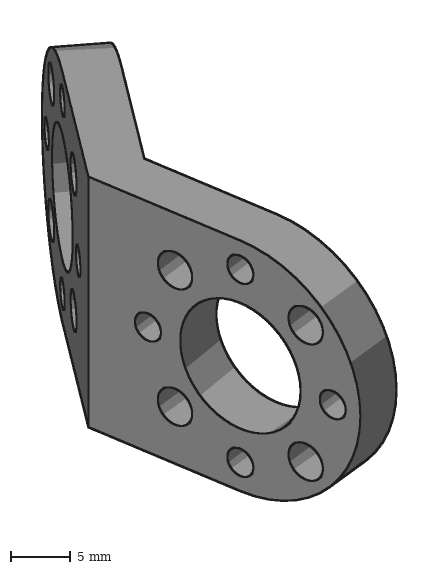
import cadquery as cq
import math

overall_length = 49.1
bend_angle = 45.0
width = 25.4
thickness = 5.05
bore_diameter = 12.7
bolt_circle_radius = 9.77
small_hole_diameter = 2.75
large_hole_diameter = 3.65
holes_per_set = 4

end_radius = width / 2
arm_length = overall_length / (1 + math.cos(math.radians(bend_angle)))
hub_distance = arm_length - end_radius


def hole_cutter(plane, diameter):
    return plane.circle(diameter / 2).extrude(-thickness)


def bolt_hole_cutters(hub, diameter, start_angle):
    """Evenly spaced through holes on the bolt circle."""
    ring = hub.polarArray(bolt_circle_radius, start_angle, 360, holes_per_set)
    return hole_cutter(ring, diameter)


def make_arm():
    """Round-ended flat arm along +X, with its outer face on Y = 0."""
    plate = (
        cq.Workplane("XZ")
        .moveTo(0, -end_radius)
        .lineTo(hub_distance, -end_radius)
        .threePointArc((arm_length, 0), (hub_distance, end_radius))
        .lineTo(0, end_radius)
        .close()
        .extrude(-thickness)
    )
    hub = cq.Workplane("XZ", origin=(hub_distance, 0, 0))
    plate = plate.cut(hole_cutter(hub, bore_diameter))
    plate = plate.cut(bolt_hole_cutters(hub, small_hole_diameter, 0))
    return plate.cut(bolt_hole_cutters(hub, large_hole_diameter, 180 / holes_per_set))


straight_arm = make_arm()
tilted_arm = straight_arm.mirror("YZ").rotate((0, 0, 0), (0, 0, 1), -bend_angle)
result = straight_arm.union(tilted_arm)